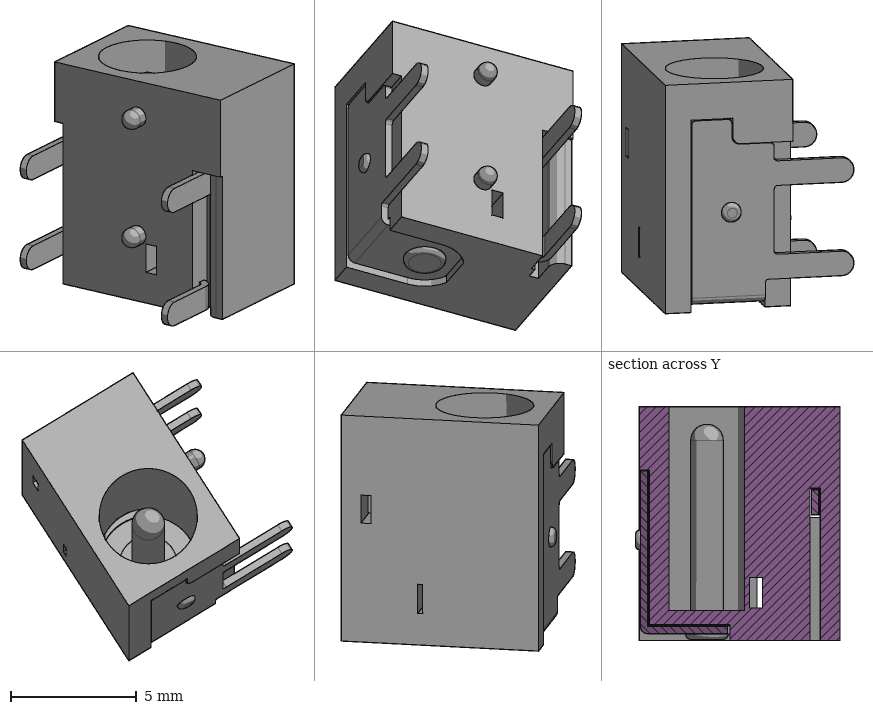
import cadquery as cq
import math

WIDTH = 8.0
DEPTH = 5.2
HEIGHT = 9.3
GAP = 0.05
SHEET = 0.3
EDGE_LAND = 0.001
DIAGONAL = math.sqrt(0.5)

BORE_X = 2.7
BORE_Y = DEPTH / 2
BORE_R = 1.95
BORE_FLOOR_Z = 1.2
PIN_R = 0.65
PIN_TIP_Z = 8.6
PIN_BASE_R = 1.15
RIVET_HEAD_R = 0.85
RIVET_HEAD_HEIGHT = 0.22
RIVET_EDGE = 0.2

PEG_R = 0.4
PEG_LENGTH = 0.8
PEG_HEIGHTS = (2.8, 7.8)

LEG_WIDTH = 1.0
LEG_REACH = 2.5
UPPER_LEG_Z = 5.5
LEFT_LOWER_LEG_Z = 1.7
RIGHT_LOWER_LEG_Z = 0.7

PLATE_X = GAP
TAB_R = 1.5
PLATE_BACK_Y = BORE_Y + TAB_R
PLATE_FRONT_Y = BORE_Y - TAB_R
PLATE_WEB_Y = 0.75
PLATE_STEP_Y = 2.48
PLATE_TOP_Z = 7.78
PLATE_SHOULDER_Z = 6.75
PLATE_CORNER = 0.15
PLATE_STEP_FILLET = 0.35
STEP_GAP = 0.03
TAB_CORNER = 0.1
TAB_Z = 0.27
BEND_R = SHEET - EDGE_LAND
POCKET_X = PLATE_X + SHEET + GAP
TAB_FLAT_X = BORE_X + 1.35
BUMP_R = 0.4
BUMP_HEIGHT = 0.2
BUMP_EDGE = BUMP_HEIGHT - EDGE_LAND
BUMP_Y = 2.5
BUMP_Z = 4.0

CORNER_X = 6.65
CORNER_TOP_Z = 6.05
CORNER_STEP_Y = 0.12
CORNER_FLOOR_Y = 1.0
GROOVE_X = 6.8
GROOVE_END_X = GROOVE_X + SHEET + 2 * GAP
GROOVE_FLOOR_Y = 1.5
LEAD_IN_R = 0.5
WINDOW_Z = 4.9
BLADE_X = (GROOVE_X + GROOVE_END_X - SHEET) / 2
BLADE_END_Y = 4.0
HOOK_START_Y = 0.2
HOOK_INNER_R = 0.3
HOOK_END_X = 5.6

SLOT_X = 4.4
SLOT_SHOULDER_X = 4.7
SLOT_END_X = 4.9
SLOT_Z = 1.3
SLOT_TOP_Z = 2.5
SHOULDER_Y = 4.8
SHOULDER_R = 0.9
SHOULDER_TILT = math.radians(6)


def box(x0, x1, y0, y1, z0, z1):
    return cq.Workplane("XY").box(x1 - x0, y1 - y0, z1 - z0, centered=False).translate((x0, y0, z0))


def solder_leg(x, root_y, centre_z):
    """Flat round-ended leg that points toward -Y from root_y."""
    radius = LEG_WIDTH / 2
    tip_y = radius - LEG_REACH
    return (
        cq.Workplane("YZ", origin=(x, 0, centre_z))
        .moveTo(root_y, radius)
        .lineTo(tip_y, radius)
        .threePointArc((-LEG_REACH, 0), (tip_y, -radius))
        .lineTo(root_y, -radius)
        .close()
        .extrude(SHEET)
    )


def tab_outline(start_x, radius, z, height):
    """Strip along X from start_x with a round end about the bore axis."""
    return (
        cq.Workplane("XY", origin=(0, 0, z))
        .moveTo(start_x, BORE_Y - radius)
        .lineTo(BORE_X, BORE_Y - radius)
        .threePointArc((BORE_X + radius, BORE_Y), (BORE_X, BORE_Y + radius))
        .lineTo(start_x, BORE_Y + radius)
        .close()
        .extrude(height)
    )


def locating_peg(z):
    stem = PEG_LENGTH - PEG_R
    return (
        cq.Workplane("XY", origin=(WIDTH / 2, 0, z))
        .lineTo(PEG_R, 0)
        .lineTo(PEG_R, -stem)
        .threePointArc(
            (PEG_R * DIAGONAL, -stem - PEG_R * DIAGONAL),
            (0, -PEG_LENGTH),
        )
        .close()
        .revolve(360, (0, 0, 0), (0, 1, 0))
    )


def centre_pin():
    """Round-tipped pin with a flush base, riveted through the contact tab."""
    dome_z = PIN_TIP_Z - PIN_R
    base_z = TAB_Z + SHEET + GAP
    pin = (
        cq.Workplane("XZ", origin=(BORE_X, BORE_Y, 0))
        .moveTo(0, TAB_Z)
        .lineTo(PIN_R, TAB_Z)
        .lineTo(PIN_R, base_z)
        .lineTo(PIN_BASE_R, base_z)
        .lineTo(PIN_BASE_R, BORE_FLOOR_Z)
        .lineTo(PIN_R, BORE_FLOOR_Z)
        .lineTo(PIN_R, dome_z)
        .threePointArc((PIN_R * DIAGONAL, dome_z + PIN_R * DIAGONAL), (0, PIN_TIP_Z))
        .close()
        .revolve(360, (0, 0, 0), (0, 1, 0))
    )
    head = (
        cq.Workplane("XY", origin=(BORE_X, BORE_Y, TAB_Z - RIVET_HEAD_HEIGHT))
        .circle(RIVET_HEAD_R)
        .extrude(RIVET_HEAD_HEIGHT)
        .faces("<Z")
        .edges()
        .fillet(RIVET_EDGE)
    )
    return pin.union(head)


def plate_pocket():
    """Stepped pocket in the left side plus the round recess for the folded tab."""
    back_y = PLATE_BACK_Y + GAP
    step_y = PLATE_STEP_Y - STEP_GAP
    shoulder_z = PLATE_SHOULDER_Z + STEP_GAP
    pocket = box(0, POCKET_X, 0, back_y, 0, shoulder_z)
    pocket = pocket.union(box(0, POCKET_X, step_y, back_y, 0, PLATE_TOP_Z + GAP))
    pocket = pocket.edges(
        cq.selectors.NearestToPointSelector((POCKET_X / 2, step_y, shoulder_z))
    ).fillet(PLATE_STEP_FILLET - STEP_GAP)
    recess = tab_outline(0, TAB_R + GAP, 0, TAB_Z + SHEET + GAP)
    recess = recess.intersect(box(0, TAB_FLAT_X, 0, DEPTH, 0, HEIGHT))
    return pocket.union(recess)


def left_contact():
    """Side plate with two legs, a contact bump and a tab folded under the bore."""
    half_leg = LEG_WIDTH / 2
    upper_leg_top = UPPER_LEG_Z + half_leg
    upper_leg_bottom = UPPER_LEG_Z - half_leg
    lower_leg_top = LEFT_LOWER_LEG_Z + half_leg
    lower_leg_bottom = LEFT_LOWER_LEG_Z - half_leg
    plate = (
        cq.Workplane("YZ", origin=(PLATE_X, 0, 0))
        .polyline([
            (PLATE_BACK_Y, TAB_Z),
            (PLATE_BACK_Y, PLATE_TOP_Z),
            (PLATE_STEP_Y, PLATE_TOP_Z),
            (PLATE_STEP_Y, PLATE_SHOULDER_Z),
            (PLATE_WEB_Y, PLATE_SHOULDER_Z),
            (PLATE_WEB_Y, upper_leg_top),
            (0, upper_leg_top),
            (0, upper_leg_bottom),
            (PLATE_WEB_Y, upper_leg_bottom),
            (PLATE_WEB_Y, lower_leg_top),
            (0, lower_leg_top),
            (0, lower_leg_bottom),
            (PLATE_FRONT_Y, lower_leg_bottom),
            (PLATE_FRONT_Y, TAB_Z),
        ])
        .close()
        .extrude(SHEET)
    )

    def round_corners(body, corners, radius):
        for y, z in corners:
            corner = cq.selectors.NearestToPointSelector((PLATE_X + SHEET / 2, y, z))
            body = body.edges("|X").edges(corner).fillet(radius)
        return body

    plate = round_corners(plate, [(PLATE_STEP_Y, PLATE_SHOULDER_Z)], PLATE_STEP_FILLET)
    plate = round_corners(plate, [(PLATE_FRONT_Y, lower_leg_bottom)], TAB_CORNER)
    small_corners = [
        (PLATE_BACK_Y, PLATE_TOP_Z),
        (PLATE_STEP_Y, PLATE_TOP_Z),
        (PLATE_WEB_Y, PLATE_SHOULDER_Z),
        (PLATE_WEB_Y, upper_leg_top),
        (PLATE_WEB_Y, upper_leg_bottom),
        (PLATE_WEB_Y, lower_leg_top),
    ]
    plate = round_corners(plate, small_corners, PLATE_CORNER)
    for leg_z in (UPPER_LEG_Z, LEFT_LOWER_LEG_Z):
        plate = plate.union(solder_leg(PLATE_X, 0, leg_z))

    tab = tab_outline(PLATE_X, TAB_R, TAB_Z, SHEET)
    tab = tab.intersect(box(PLATE_X, TAB_FLAT_X - GAP, 0, DEPTH, 0, HEIGHT))
    contact = plate.union(tab)
    fold = cq.selectors.NearestToPointSelector((PLATE_X, BORE_Y, TAB_Z))
    contact = contact.edges("|Y").edges(fold).fillet(BEND_R)

    bump = (
        cq.Workplane("YZ", origin=(PLATE_X, BUMP_Y, BUMP_Z))
        .circle(BUMP_R)
        .extrude(-BUMP_HEIGHT)
        .faces("<X")
        .edges()
        .fillet(BUMP_EDGE)
    )
    return contact.union(bump)


def blade_terminal():
    """Straight terminal in the window of the right-hand groove."""
    return solder_leg(BLADE_X, BLADE_END_Y, UPPER_LEG_Z)


def hook_terminal():
    """Terminal whose root bends toward -X and is held in the housing."""
    outer_r = HOOK_INNER_R + SHEET
    bend_x = BLADE_X - HOOK_INNER_R
    hook = (
        cq.Workplane("XY", origin=(0, 0, RIGHT_LOWER_LEG_Z - LEG_WIDTH / 2))
        .moveTo(BLADE_X, HOOK_START_Y)
        .threePointArc(
            (bend_x + HOOK_INNER_R * DIAGONAL, HOOK_START_Y + HOOK_INNER_R * DIAGONAL),
            (bend_x, HOOK_START_Y + HOOK_INNER_R),
        )
        .lineTo(HOOK_END_X, HOOK_START_Y + HOOK_INNER_R)
        .lineTo(HOOK_END_X, HOOK_START_Y + outer_r)
        .lineTo(bend_x, HOOK_START_Y + outer_r)
        .threePointArc(
            (bend_x + outer_r * DIAGONAL, HOOK_START_Y + outer_r * DIAGONAL),
            (BLADE_X + SHEET, HOOK_START_Y),
        )
        .close()
        .extrude(LEG_WIDTH)
    )
    return hook.union(solder_leg(BLADE_X, HOOK_START_Y, RIGHT_LOWER_LEG_Z))


def terminal_corner():
    """Open corner on the right: step, rounded lead-in, groove and through window."""
    step = box(CORNER_X, WIDTH, 0, CORNER_STEP_Y, 0, CORNER_TOP_Z)
    seat = box(CORNER_X, GROOVE_END_X, 0, CORNER_FLOOR_Y, 0, CORNER_TOP_Z)
    groove = box(GROOVE_X, GROOVE_END_X, 0, GROOVE_FLOOR_Y, 0, CORNER_TOP_Z)
    window = box(GROOVE_X, GROOVE_END_X, 0, DEPTH, WINDOW_Z, CORNER_TOP_Z)
    lead_in_end_x = GROOVE_END_X + LEAD_IN_R
    lead_in_end_y = CORNER_STEP_Y + LEAD_IN_R
    lead_in = box(GROOVE_END_X, lead_in_end_x, CORNER_STEP_Y, lead_in_end_y, 0, CORNER_TOP_Z)
    rounding = (
        cq.Workplane("XY")
        .center(lead_in_end_x, lead_in_end_y)
        .circle(LEAD_IN_R)
        .extrude(CORNER_TOP_Z)
    )
    return step.union(seat).union(groove).union(window).union(lead_in.cut(rounding))


def shoulder_slot():
    """Through slot whose left part ends on a hollow cylindrical shoulder."""
    axis_x = SLOT_X - SHOULDER_R * math.sin(SHOULDER_TILT)
    axis_y = SHOULDER_Y - SHOULDER_R * math.cos(SHOULDER_TILT)
    hollow = (
        cq.Workplane("XY", origin=(axis_x, axis_y, SLOT_Z))
        .circle(SHOULDER_R)
        .extrude(SLOT_TOP_Z - SLOT_Z)
        .intersect(box(SLOT_X, SLOT_SHOULDER_X, axis_y, DEPTH, SLOT_Z, SLOT_TOP_Z))
    )
    blind_part = box(SLOT_X, SLOT_SHOULDER_X, 0, axis_y, SLOT_Z, SLOT_TOP_Z)
    through_part = box(SLOT_SHOULDER_X, SLOT_END_X, 0, DEPTH, SLOT_Z, SLOT_TOP_Z)
    return through_part.union(blind_part).union(hollow)


pin = centre_pin()
contact = left_contact().cut(pin)
blade = blade_terminal()
hook = hook_terminal()

housing = box(0, WIDTH, 0, DEPTH, 0, HEIGHT)
for peg_z in PEG_HEIGHTS:
    housing = housing.union(locating_peg(peg_z))
bore = (
    cq.Workplane("XY", origin=(BORE_X, BORE_Y, BORE_FLOOR_Z))
    .circle(BORE_R)
    .extrude(HEIGHT - BORE_FLOOR_Z)
)
housing = housing.cut(bore).cut(plate_pocket()).cut(terminal_corner()).cut(shoulder_slot())
housing = housing.cut(pin).cut(hook)

result = cq.Compound.makeCompound(
    [housing.val(), contact.val(), pin.val(), blade.val(), hook.val()]
)